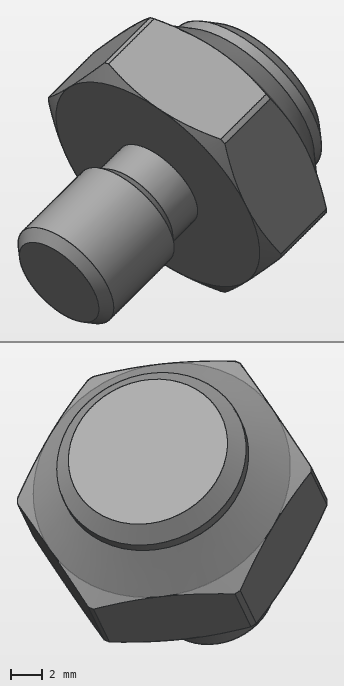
import cadquery as cq
import math

across_flats = 17.0
corner_diameter = 19.4
head_thickness = 6.0
head_chamfer_angle = 30.0

stud_diameter = 8.0
neck_diameter = 6.65
neck_length = 2.52
stud_reach = 10.0

collar_diameter = 12.52
cone_length = 2.25
collar_length = 4.0
collar_chamfer = 1.0

flat_radius = across_flats / 2
corner_radius = corner_diameter / 2
stud_radius = stud_diameter / 2
neck_radius = neck_diameter / 2
collar_radius = collar_diameter / 2
stud_chamfer = stud_radius - neck_radius
head_chamfer = (corner_radius - flat_radius) * math.tan(math.radians(head_chamfer_angle))
collar_end = head_thickness + collar_length


def revolve_profile(points):
    """Turn a closed (radius, y) outline about the Y axis."""
    return cq.Workplane("XY").polyline(points).close().revolve(360, (0, 0, 0), (0, 1, 0))


def make_head():
    """Hexagon with corners on X, rounded and chamfered by a turned envelope."""
    across_corners = across_flats / math.cos(math.pi / 6)
    hexagon = cq.Workplane("XZ").polygon(6, across_corners).extrude(-head_thickness)
    envelope = revolve_profile([
        (0, 0),
        (flat_radius, 0),
        (corner_radius, head_chamfer),
        (corner_radius, head_thickness - head_chamfer),
        (flat_radius, head_thickness),
        (0, head_thickness),
    ])
    return hexagon.intersect(envelope)


def make_turned_core():
    """Stud, neck and collar as one turned body running through the head."""
    return revolve_profile([
        (0, -stud_reach),
        (stud_radius - stud_chamfer, -stud_reach),
        (stud_radius, -stud_reach + stud_chamfer),
        (stud_radius, -neck_length - stud_chamfer),
        (neck_radius, -neck_length),
        (neck_radius, head_thickness),
        (flat_radius, head_thickness),
        (collar_radius, head_thickness + cone_length),
        (collar_radius, collar_end - collar_chamfer),
        (collar_radius - collar_chamfer, collar_end),
        (0, collar_end),
    ])


result = make_head().union(make_turned_core())